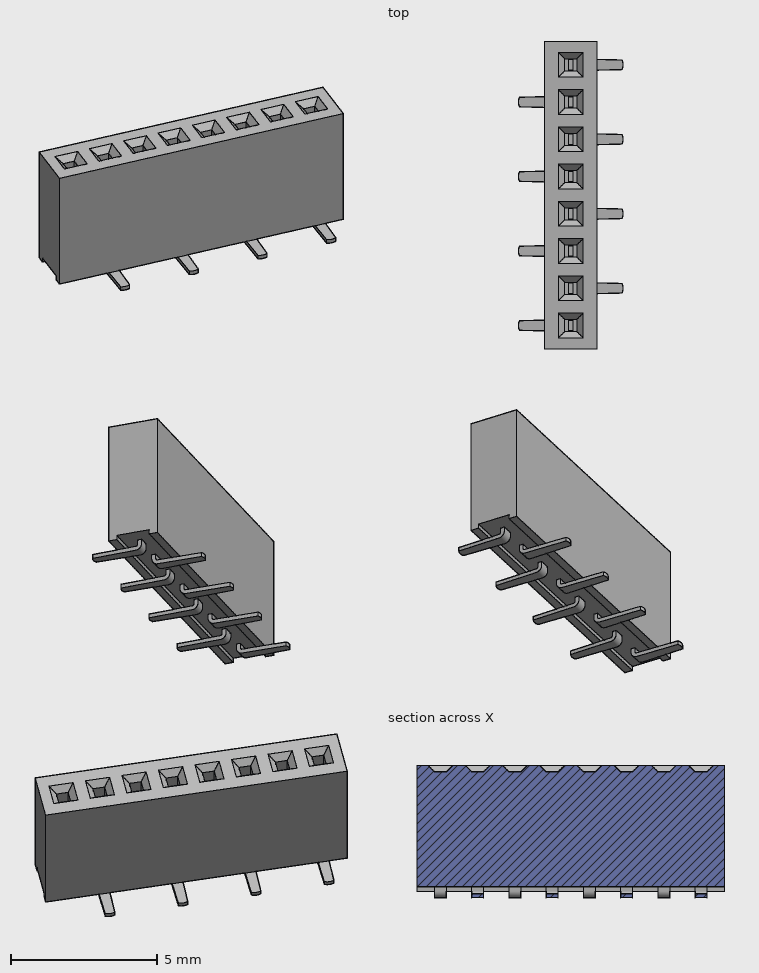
import cadquery as cq

HOUSING_LENGTH = 10.51
HOUSING_WIDTH = 1.8
OVERALL_HEIGHT = 4.53
STANDOFF = 0.22
CHANNEL_WIDTH = 1.2
CHANNEL_DEPTH = 0.16

CONTACT_COUNT = 8
PITCH = 1.27

MOUTH_SIDE = 0.84
THROAT_SIDE = 0.41
FUNNEL_DEPTH = (MOUTH_SIDE - THROAT_SIDE) / 2
SOCKET_DEPTH = 2.94

FOOT_SPAN = 3.58
PIN_THICKNESS = 0.15
PIN_WIDTH = 0.41
TIP_WIDTH = 0.34
TIP_BULGE = 0.04
BEND_INNER_RADIUS = 0.07
POST_WIDTH = 0.35
POST_HEIGHT = 0.42

FOOT_REACH = FOOT_SPAN / 2
BEND_OUTER_RADIUS = BEND_INNER_RADIUS + PIN_THICKNESS
SOCKET_FLOOR = OVERALL_HEIGHT - SOCKET_DEPTH


def make_housing():
    """Rectangular block with a channel along its underside."""
    block = cq.Workplane("XY").workplane(offset=STANDOFF).rect(HOUSING_WIDTH, HOUSING_LENGTH)
    block = block.extrude(OVERALL_HEIGHT - STANDOFF)
    channel = cq.Workplane("XY").workplane(offset=STANDOFF).rect(CHANNEL_WIDTH, HOUSING_LENGTH)
    return block.cut(channel.extrude(CHANNEL_DEPTH))


def make_socket():
    """Square throat that opens to the top through a pyramidal funnel."""
    top = cq.Workplane("XY").workplane(offset=OVERALL_HEIGHT)
    throat = top.rect(THROAT_SIDE, THROAT_SIDE).extrude(-SOCKET_DEPTH)
    funnel = top.rect(MOUTH_SIDE, MOUTH_SIDE)
    funnel = funnel.workplane(offset=-FUNNEL_DEPTH).rect(THROAT_SIDE, THROAT_SIDE).loft(ruled=True)
    return throat.union(funnel)


def make_pin():
    """Stem bent into a tapered foot that points to +X."""
    half_thickness = PIN_THICKNESS / 2
    bend_center_x = BEND_OUTER_RADIUS - half_thickness
    profile = (
        cq.Workplane("XZ")
        .moveTo(-half_thickness, SOCKET_FLOOR)
        .lineTo(-half_thickness, BEND_OUTER_RADIUS)
        .radiusArc((bend_center_x, 0), -BEND_OUTER_RADIUS)
        .lineTo(FOOT_REACH, 0)
        .lineTo(FOOT_REACH, PIN_THICKNESS)
        .lineTo(bend_center_x, PIN_THICKNESS)
        .radiusArc((half_thickness, BEND_OUTER_RADIUS), BEND_INNER_RADIUS)
        .lineTo(half_thickness, SOCKET_FLOOR)
        .close()
        .extrude(PIN_WIDTH / 2, both=True)
    )
    tip_corner_x = FOOT_REACH - TIP_BULGE
    plan = (
        cq.Workplane("XY")
        .moveTo(-half_thickness, -PIN_WIDTH / 2)
        .lineTo(bend_center_x, -PIN_WIDTH / 2)
        .lineTo(tip_corner_x, -TIP_WIDTH / 2)
        .threePointArc((FOOT_REACH, 0), (tip_corner_x, TIP_WIDTH / 2))
        .lineTo(bend_center_x, PIN_WIDTH / 2)
        .lineTo(-half_thickness, PIN_WIDTH / 2)
        .close()
        .extrude(SOCKET_FLOOR)
    )
    post = cq.Workplane("XY").workplane(offset=SOCKET_FLOOR).rect(PIN_THICKNESS, POST_WIDTH)
    return profile.intersect(plan).union(post.extrude(POST_HEIGHT))


result = make_housing()
socket = make_socket()
pin_right = make_pin()
pin_left = pin_right.rotate((0, 0, 0), (0, 0, 1), 180)

for index in range(CONTACT_COUNT):
    contact_y = (index - (CONTACT_COUNT - 1) / 2) * PITCH
    pin = pin_left if index % 2 == 0 else pin_right
    result = result.cut(socket.translate((0, contact_y, 0)))
    result = result.union(pin.translate((0, contact_y, 0)))